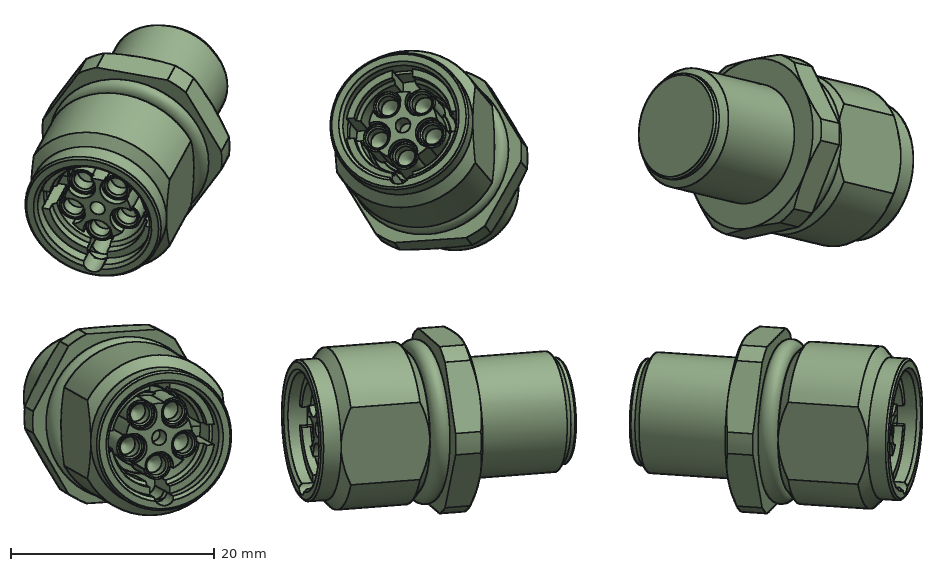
import cadquery as cq
import math


hex_thickness = 3.0
hex_across_flats = 17.0
hex_corner_radius = 9.25
hex_chamfer_length = 0.4
hex_rear_radius = 8.5

stub_radius = 5.98
stub_tip_radius = 5.28
stub_length = 10.6
stub_cone_start = 1.2
stub_tip_length = 0.6
end_chamfer = 0.2

ring_section_radius = 0.975
ring_groove_radius = 6.2
ring_groove_width = 2.0

collar_radius = 7.0
barrel_radius = 8.03
barrel_cone_length = 1.0
barrel_length = 7.1
collar_length = 2.0
barrel_flat_distance = 7.0

rear_y = hex_thickness + stub_length
barrel_rear_y = -ring_groove_width
barrel_front_y = barrel_rear_y - 2 * barrel_cone_length - barrel_length
front_y = barrel_front_y - collar_length

bore_radius = 5.75
bore_chamfer = 0.33
bore_depth = 10.0
undercut_radius = 6.5
undercut_start = 2.3
undercut_end = 3.2
slot_width = 2.06
keyway_reach = 6.5

sleeve_front = 1.5
sleeve_mouth_radius = 5.0
sleeve_mouth_length = 0.9
sleeve_inner_radius = 4.65
sleeve_cone_length = sleeve_mouth_radius - sleeve_inner_radius
floor_depth = 6.0
floor_recess_radius = 4.42
floor_recess_depth = 0.5
sleeve_back = 7.0

boss_front = 1.67
boss_radius = 3.45
boss_foot_radius = 3.75
centre_hole_radius = 0.75
centre_hole_depth = 2.0

contact_count = 5
contact_pitch_radius = 2.9
first_contact_angle = -90.0
contact_radius = 1.4
contact_mouth_radius = 1.46
contact_front = 2.38
contact_bore_radius = 1.0
contact_bore_depth = 1.5
contact_chamfer = 0.2
drill_point_angle = 118.0


def at_depth(depth):
    """Y position at the given depth behind the front rim."""
    return front_y + depth


def revolve_about_y(outline):
    """Solid of revolution about the Y axis from a closed outline of (radius, y) points."""
    return cq.Workplane("XY").polyline(outline).close().revolve(360, (0, 0, 0), (0, 1, 0))


def rod(radius, start, end, x=0.0, z=0.0):
    """Cylinder along Y between two depths."""
    plane = cq.Plane(origin=(x, at_depth(start), z), xDir=(1, 0, 0), normal=(0, 1, 0))
    return cq.Workplane(plane).circle(radius).extrude(end - start)


def slab(x_min, x_max, z_min, z_max, start, end):
    """Rectangular block between two depths."""
    return (
        cq.Workplane("XY")
        .box(x_max - x_min, end - start, z_max - z_min, centered=False)
        .translate((x_min, at_depth(start), z_min))
    )


def contact_places():
    """(x, z) of every contact axis."""
    step = 360.0 / contact_count
    angles = [math.radians(first_contact_angle + i * step) for i in range(contact_count)]
    return [(contact_pitch_radius * math.cos(a), contact_pitch_radius * math.sin(a)) for a in angles]


def keyway_prism(start, end):
    """Round-bottomed bar at the lowest point of the bore, as wide as the sleeve slots."""
    radius = slot_width / 2
    centre_z = radius - keyway_reach
    upper_part = slab(-radius, radius, centre_z, -sleeve_inner_radius, start, end)
    return upper_part.union(rod(radius, start, end, z=centre_z))


def make_flange():
    """Hexagon with turned corners and a chamfered rear face."""
    hexagon = (
        cq.Workplane("XZ")
        .polygon(6, hex_across_flats / math.cos(math.pi / 6))
        .extrude(-hex_thickness)
    )
    turned_envelope = revolve_about_y([
        (0, 0),
        (hex_corner_radius, 0),
        (hex_corner_radius, hex_thickness - hex_chamfer_length),
        (hex_rear_radius, hex_thickness),
        (0, hex_thickness),
    ])
    return hexagon.intersect(turned_envelope)


def make_stub():
    """Rear cylinder with a cone and a small chamfered tip."""
    return revolve_about_y([
        (0, hex_thickness),
        (stub_radius, hex_thickness),
        (stub_radius, rear_y - stub_cone_start),
        (stub_tip_radius, rear_y - stub_tip_length),
        (stub_tip_radius, rear_y - end_chamfer),
        (stub_tip_radius - end_chamfer, rear_y),
        (0, rear_y),
    ])


def make_barrel():
    """Front barrel with the sealing ring neck, the two cones, the collar and the side flats."""
    turned = revolve_about_y([
        (0, 0),
        (ring_groove_radius, 0),
        (ring_groove_radius, barrel_rear_y),
        (collar_radius, barrel_rear_y),
        (barrel_radius, barrel_rear_y - barrel_cone_length),
        (barrel_radius, barrel_front_y + barrel_cone_length),
        (collar_radius, barrel_front_y),
        (collar_radius, front_y + end_chamfer),
        (collar_radius - end_chamfer, front_y),
        (0, front_y),
    ])
    between_flats = slab(
        -barrel_flat_distance, barrel_flat_distance, -barrel_radius, barrel_radius, 0, -front_y
    )
    return turned.intersect(between_flats)


def make_housing():
    """Outer body with a stepped blind bore and a keyway."""
    bore = revolve_about_y([
        (0, front_y),
        (bore_radius + bore_chamfer, front_y),
        (bore_radius, at_depth(bore_chamfer)),
        (bore_radius, at_depth(undercut_start)),
        (undercut_radius, at_depth(undercut_start)),
        (undercut_radius, at_depth(undercut_end)),
        (bore_radius, at_depth(undercut_end)),
        (bore_radius, at_depth(bore_depth)),
        (0, at_depth(bore_depth)),
    ])
    solid = make_barrel().union(make_flange()).union(make_stub())
    return solid.cut(bore).cut(keyway_prism(0, sleeve_back))


def make_sealing_ring():
    """O-ring seated in the neck between the flange and the barrel."""
    centre_radius = ring_groove_radius + ring_section_radius
    return (
        cq.Workplane("XY")
        .moveTo(centre_radius, -ring_groove_width / 2)
        .circle(ring_section_radius)
        .revolve(360, (0, 0, 0), (0, 1, 0))
    )


def make_carrier():
    """Insulating body: a disc behind the sleeves and a boss with open-sided contact holes."""
    carrier = revolve_about_y([
        (0, at_depth(boss_front)),
        (boss_radius, at_depth(boss_front)),
        (boss_radius, at_depth(floor_depth)),
        (boss_foot_radius, at_depth(floor_depth)),
        (boss_foot_radius, at_depth(sleeve_back)),
        (bore_radius, at_depth(sleeve_back)),
        (bore_radius, at_depth(bore_depth)),
        (0, at_depth(bore_depth)),
    ])
    carrier = carrier.cut(rod(centre_hole_radius, boss_front, boss_front + centre_hole_depth))
    for x, z in contact_places():
        carrier = carrier.cut(rod(contact_mouth_radius, boss_front, contact_front, x, z))
        carrier = carrier.cut(rod(contact_radius, contact_front, bore_depth, x, z))
    return carrier


def make_half_sleeve(side):
    """Half of the slotted sleeve round the boss: side is +1 for the upper half, -1 for the lower.

    The floor of the lower half has a tab that fills the end of the keyway.
    """
    mouth_end = sleeve_front + sleeve_mouth_length
    sleeve = revolve_about_y([
        (bore_radius, at_depth(sleeve_front)),
        (sleeve_mouth_radius, at_depth(sleeve_front)),
        (sleeve_mouth_radius, at_depth(mouth_end)),
        (sleeve_inner_radius, at_depth(mouth_end + sleeve_cone_length)),
        (sleeve_inner_radius, at_depth(floor_depth)),
        (floor_recess_radius, at_depth(floor_depth)),
        (floor_recess_radius, at_depth(floor_depth + floor_recess_depth)),
        (boss_foot_radius, at_depth(floor_depth + floor_recess_depth)),
        (boss_foot_radius, at_depth(sleeve_back)),
        (bore_radius, at_depth(sleeve_back)),
    ])
    sleeve = sleeve.union(keyway_prism(floor_depth, sleeve_back))
    half_slot = slot_width / 2
    reach = barrel_radius
    sleeve = sleeve.cut(slab(-reach, reach, -half_slot, half_slot, sleeve_front, floor_depth))
    sleeve = sleeve.cut(slab(-half_slot, half_slot, -reach, reach, sleeve_front, floor_depth))
    for x, z in contact_places():
        sleeve = sleeve.cut(rod(contact_radius, contact_front, sleeve_back, x, z))
    half_space = slab(-reach, reach, min(0, side * reach), max(0, side * reach), 0, bore_depth)
    return sleeve.intersect(half_space)


def make_contact(x, z):
    """Socket contact with a chamfered, drilled front end."""
    bore_end = contact_front + contact_bore_depth
    drill_tip = bore_end + contact_bore_radius / math.tan(math.radians(drill_point_angle / 2))
    contact = revolve_about_y([
        (0, at_depth(drill_tip)),
        (contact_bore_radius, at_depth(bore_end)),
        (contact_bore_radius, at_depth(contact_front + contact_chamfer)),
        (contact_bore_radius + contact_chamfer, at_depth(contact_front)),
        (contact_radius, at_depth(contact_front)),
        (contact_radius, at_depth(bore_depth)),
        (0, at_depth(bore_depth)),
    ])
    return contact.translate((x, 0, z))


housing = make_housing()
sealing_ring = make_sealing_ring()
carrier = make_carrier()
half_sleeves = [make_half_sleeve(side) for side in (1, -1)]
contacts = [make_contact(x, z) for x, z in contact_places()]

bodies = [housing, sealing_ring, carrier, *half_sleeves, *contacts]
result = cq.Compound.makeCompound([body.val() for body in bodies])